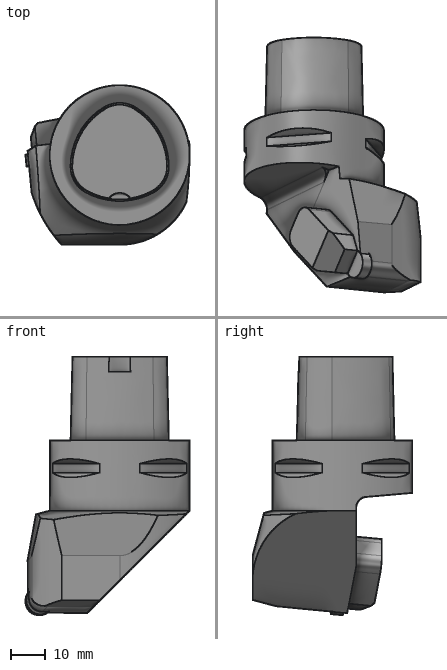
import cadquery as cq
import math


flange_diameter = 40.0
flange_radius = flange_diameter / 2
flange_height = 20.05

groove_count = 4
groove_floor_distance = 17.6
groove_floor_width = 2.5
groove_mid_depth = 7.9
groove_flank_angle = 30

shank_height = 24.0
first_lobe_angle = 90
lobe_spacing = 120
lobe_reach = 14.95
side_reach = 13.2
lobe_radius = 8.5
shank_taper_angle = 1.3
notch_radius = 3.7
notch_depth = 4.4
notch_center_y = -14.5

insert_diameter = 8.0
insert_thickness = 3.25
insert_x = -23.0
insert_y = 0.4
insert_z = -46.0
tilt_angle = 5.5
tilt = math.tan(math.radians(tilt_angle))

head_front = 25.7
head_corner_x = -16.6
head_side_y = -10.7
head_round_radius = 21.0
head_corner_radius = 40.0
shoulder_angle = 15
front_slope_angle = 15
front_slope_z = -32.85
left_slope_z = -34.2
left_slope = 0.19
left_slope_twist = 0.076
heel_y = -18.9
heel_angle = 15
seat_offset = 3.25
seat_corner_radius = 3.7

wall_y = 4.0
ceiling_z = -15.0
ceiling_angle = 5
relief_fillet = 2.95

clamp_half_width = 6.3
clamp_height = 8.0
clamp_rear_distance = 22.4
clamp_rear_radius = 3.7
nose_distance = 1.0
nose_half_width = 3.85
nose_length = 4.5
nose_edge_height = 4.6
nose_bevel_angle = 30

big = 147.95

rake_normal = cq.Vector(-tilt, 1, -tilt)
tip_direction = cq.Vector(-1, -2 * tilt, -1)
insert_center = cq.Vector(insert_x, insert_y, insert_z)
insert_frame = cq.Plane(origin=insert_center, xDir=tip_direction, normal=rake_normal)


def beyond(point, normal):
    """Block that fills the space on the outer side of a plane."""
    plane = cq.Plane(origin=point, normal=normal)
    return cq.Workplane(plane).rect(2 * big, 2 * big).extrude(big)


def polar(radius, angle):
    """Point at a distance from the axis, with the angle in degrees from +X."""
    return (radius * math.cos(math.radians(angle)), radius * math.sin(math.radians(angle)))


def make_shank():
    lobe_offset = lobe_reach - lobe_radius
    side_radius = (lobe_offset ** 2 + side_reach ** 2 - lobe_offset * side_reach - lobe_radius ** 2) / (
        2 * side_reach - lobe_offset - 2 * lobe_radius
    )
    side_offset = side_radius - side_reach
    half_spacing = lobe_spacing / 2
    lobe_x, lobe_y = polar(lobe_offset, 90 - half_spacing)
    stretch = side_radius / (side_radius - lobe_radius)
    join_x = lobe_x * stretch
    join_y = (lobe_y + side_offset) * stretch - side_offset
    join_reach = math.hypot(join_x, join_y)
    join_angle = half_spacing - math.degrees(math.atan2(join_x, join_y))

    outline = cq.Workplane("XY").moveTo(*polar(join_reach, first_lobe_angle - join_angle))
    for index in range(360 // lobe_spacing):
        lobe_angle = first_lobe_angle + index * lobe_spacing
        outline = outline.threePointArc(
            polar(lobe_reach, lobe_angle), polar(join_reach, lobe_angle + join_angle)
        )
        outline = outline.threePointArc(
            polar(side_reach, lobe_angle + half_spacing),
            polar(join_reach, lobe_angle + lobe_spacing - join_angle),
        )
    shank = outline.close().extrude(shank_height, taper=shank_taper_angle)
    notch = (
        cq.Workplane("XY", origin=(0, notch_center_y, shank_height - notch_depth))
        .circle(notch_radius)
        .extrude(notch_depth)
    )
    return shank.cut(notch)


def make_flange():
    flange = cq.Workplane("XY").circle(flange_radius).extrude(-flange_height)
    depth = flange_radius - groove_floor_distance
    half_floor = groove_floor_width / 2
    half_mouth = half_floor + depth * math.tan(math.radians(groove_flank_angle))
    groove = (
        cq.Workplane("XZ", origin=(0, 0, -groove_mid_depth))
        .polyline([
            (groove_floor_distance, -half_floor),
            (flange_radius, -half_mouth),
            (flange_radius, half_mouth),
            (groove_floor_distance, half_floor),
        ])
        .close()
        .extrude(flange_radius, both=True)
    )
    step = 360 / groove_count
    for index in range(groove_count):
        flange = flange.cut(groove.rotate((0, 0, 0), (0, 0, 1), step * (index + 0.5)))
    return flange


left_normal = cq.Vector(-1, -tilt, 0).normalized()
bottom_normal = cq.Vector(0, -tilt, -1).normalized()
left_point = insert_center + left_normal * seat_offset
bottom_point = insert_center + bottom_normal * seat_offset


def left_x(y):
    """X of the lower left face of the head at a given Y."""
    return left_point.x - tilt * (y - left_point.y)


def make_rounded_corner():
    """Block bounded by the left and bottom faces, rounded around the insert axis."""
    block = cq.Workplane("XY").box(big, big, big)
    block = block.cut(beyond(left_point, left_normal)).cut(beyond(bottom_point, bottom_normal))
    corner = cq.selectors.NearestToPointSelector((left_point.x, insert_y, bottom_point.z))
    return block.edges(corner).fillet(seat_corner_radius)


def make_head():
    round_center_y = head_round_radius - head_front
    corner_chord = cq.Vector(head_corner_x - left_x(head_side_y), -head_front - head_side_y)
    corner_sag = head_corner_radius - math.sqrt(head_corner_radius ** 2 - corner_chord.Length ** 2 / 4)
    arc_reach = math.sqrt(0.5) * head_round_radius
    head = (
        cq.Workplane("XY", origin=(0, 0, -flange_height))
        .moveTo(left_x(flange_radius), flange_radius)
        .lineTo(left_x(head_side_y), head_side_y)
        .sagittaArc((head_corner_x, -head_front), -corner_sag)
        .lineTo(0, -head_front)
        .threePointArc((arc_reach, round_center_y - arc_reach), (head_round_radius, round_center_y))
        .lineTo(head_round_radius, flange_radius)
        .close()
        .extrude(-big)
    )

    shoulder_drop = (big - flange_radius) * math.tan(math.radians(shoulder_angle))
    shoulder = (
        cq.Workplane("XZ")
        .polyline([
            (0, -flange_height),
            (flange_radius, -flange_height),
            (big, -flange_height - shoulder_drop),
            (big, -big),
            (0, -big),
        ])
        .close()
        .revolve(360, (0, 0, 0), (0, 1, 0))
    )
    head = head.intersect(shoulder).intersect(make_rounded_corner())

    front_rise = math.tan(math.radians(front_slope_angle))
    head = head.cut(beyond((0, -head_front, front_slope_z), (0, -1, front_rise)))
    head = head.cut(beyond((left_x(insert_y), insert_y, left_slope_z), (-1, -left_slope_twist, left_slope)))

    heel_z = bottom_point.z - tilt * (heel_y - bottom_point.y)
    head = head.cut(beyond((0, heel_y, heel_z), (0, -math.tan(math.radians(heel_angle)), -1)))

    return head.cut(beyond((flange_radius, 0, -flange_height), (1, 0, -1)))


def make_relief():
    """Space in front of the wall and under the flange overhang, with the tilted seat face."""
    fall = math.tan(math.radians(ceiling_angle))
    corner_z = ceiling_z - (flange_radius - wall_y) * fall
    wall_cut = (
        cq.Workplane("YZ")
        .polyline([
            (wall_y, -big),
            (wall_y, corner_z),
            (big, corner_z + (big - wall_y) * fall),
            (big, -big),
        ])
        .close()
        .extrude(big, both=True)
    )
    corner = cq.selectors.NearestToPointSelector((0, wall_y, corner_z))
    wall_cut = wall_cut.edges(corner).fillet(relief_fillet)

    runout = (wall_y - insert_y) / tip_direction.normalized().y
    seat_cut = (
        cq.Workplane(insert_frame).center(runout + big / 2, 0).rect(big, 2 * big).extrude(big)
    )
    seat_cut = seat_cut.cut(beyond((0, flange_radius, ceiling_z), (0, -fall, 1)))
    return wall_cut.union(seat_cut)


def make_clamp():
    shoulder_x = -nose_distance - nose_length
    clamp = (
        cq.Workplane(insert_frame)
        .polyline([
            (-clamp_rear_distance, clamp_half_width),
            (shoulder_x, clamp_half_width),
            (-nose_distance, nose_half_width),
            (-nose_distance, -nose_half_width),
            (shoulder_x, -clamp_half_width),
            (-clamp_rear_distance, -clamp_half_width),
        ])
        .close()
        .extrude(clamp_height)
    )
    for side in (-clamp_half_width, clamp_half_width):
        corner_point = insert_frame.toWorldCoords((-clamp_rear_distance, side, clamp_height / 2))
        corner = cq.selectors.NearestToPointSelector(corner_point.toTuple())
        clamp = clamp.edges(corner).fillet(clamp_rear_radius)
    bevel_rise = math.tan(math.radians(nose_bevel_angle))
    bevel_point = insert_frame.toWorldCoords((-nose_distance, 0, nose_edge_height))
    bevel_normal = insert_frame.xDir * bevel_rise + insert_frame.zDir
    return clamp.cut(beyond(bevel_point, bevel_normal))


def make_insert():
    return cq.Workplane(insert_frame).circle(insert_diameter / 2).extrude(-insert_thickness)


insert = make_insert()
holder = make_flange().union(make_head()).cut(make_relief())
holder = holder.union(make_shank()).union(make_clamp()).cut(insert)

result = cq.Compound.makeCompound([holder.val(), insert.val()])